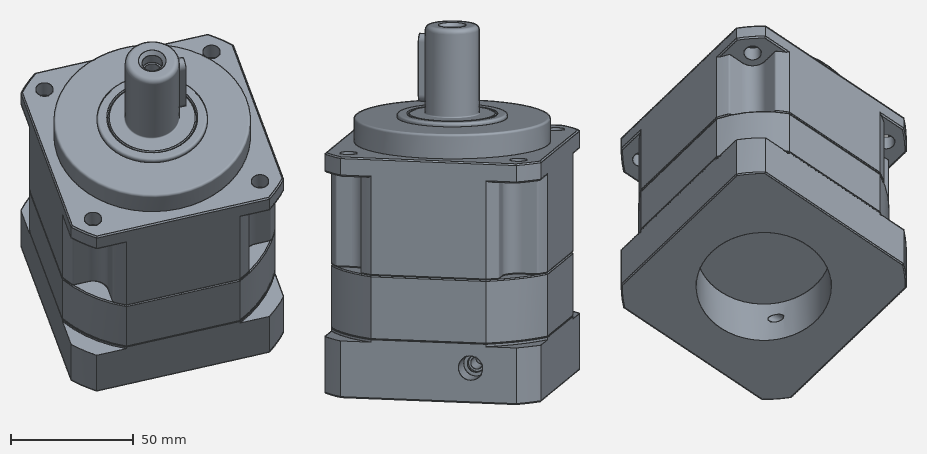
import cadquery as cq
import math

square = 90.0
half = square / 2
tolerance = 0.01
body_radius = 51.0
flange_radius = 58.0
seam_chamfer = 0.5
flange_chamfer = 0.6

adapter_ledge = 23.5
adapter_top = 24.5
ring_top = 51.0
flange_bottom = 91.5
flange_top = 99.5
column_top = flange_bottom + flange_chamfer
pilot_top = 109.5
collar_top = 111.0
shaft_top = 147.5

bolt_circle_radius = 50.0
bolt_offset = bolt_circle_radius * math.sin(math.radians(45))
bolt_hole_diameter = 7.0
pocket_radius = 6.5
pocket_size = 40.0
pocket_rim_fillet = 1.0

pilot_radius = 40.0
pilot_fillet = 1.0
collar_radius = 22.5
collar_fillet = 1.0
groove_radius = 18.0
groove_depth = 0.5
shaft_radius = 11.0
shaft_root_fillet = 0.5
shaft_end_fillet = 2.0

countersink_radius = 5.6
clearance_radius = 4.1
clearance_depth = 6.0
countersink_depth = 1.5
tap_radius = 3.3
tap_depth = 20.0
drill_point_depth = 2.0

key_width = 6.0
key_length = 28.0
key_end_gap = 4.0
key_top = 13.5

motor_bore_radius = 27.5
access_y = -17.5
access_z = 14.4
access_radius = 5.0
access_depth = 10.0
screw_seat_radius = 3.5
screw_seat_depth = 12.0
screw_hole_radius = 2.5


def rounded_square(corner_radius, z_bottom, z_top):
    """Square block whose corners are rounded by a cylinder about the Z axis."""
    height = z_top - z_bottom
    cylinder = cq.Workplane("XY").workplane(offset=z_bottom).circle(corner_radius).extrude(height)
    block = cq.Workplane("XY").workplane(offset=z_bottom).rect(square, square).extrude(height)
    return block.intersect(cylinder)


def corner_pockets():
    """Square-sided pockets, rounded inside, that clear the four mounting screws."""
    height = column_top - ring_top
    inner_wall = bolt_offset - pocket_radius
    centre = inner_wall + pocket_size / 2
    return (
        cq.Workplane("XY").workplane(offset=ring_top)
        .rect(2 * centre, 2 * centre, forConstruction=True).vertices()
        .rect(pocket_size, pocket_size).extrude(height)
        .edges("|Z").fillet(pocket_radius)
    )


def housing_body():
    """Column between gear ring and flange, with a pocket in each corner.

    It runs up past the flange's lower chamfer so that the flat sides stay unbroken.
    """
    column = rounded_square(body_radius, ring_top, column_top)
    column = column.cut(corner_pockets())
    mouths = [
        edge for edge in column.edges("|Z").vals()
        if abs(math.hypot(edge.Center().x, edge.Center().y) - body_radius) < tolerance
        and max(abs(edge.Center().x), abs(edge.Center().y)) < half - tolerance
    ]
    column = column.newObject(mouths).fillet(pocket_rim_fillet)
    return column.faces("<Z").chamfer(seam_chamfer)


def output_flange():
    plate = rounded_square(flange_radius, flange_bottom, flange_top)
    plate = plate.faces("<Z or >Z").chamfer(flange_chamfer)
    return (
        plate.faces(">Z").workplane(origin=(0, 0, flange_top))
        .rect(2 * bolt_offset, 2 * bolt_offset, forConstruction=True).vertices()
        .hole(bolt_hole_diameter)
    )


def pilot_and_shaft():
    """Turned output end: pilot, collar with its groove, and the drilled shaft."""
    pilot = (
        cq.Workplane("XY").workplane(offset=flange_top)
        .circle(pilot_radius).extrude(pilot_top - flange_top)
        .faces(">Z").edges().fillet(pilot_fillet)
    )
    collar = (
        cq.Workplane("XY").workplane(offset=pilot_top)
        .circle(collar_radius).extrude(collar_top - pilot_top)
        .faces(">Z").edges().fillet(collar_fillet)
    )
    shaft = (
        cq.Workplane("XY").workplane(offset=collar_top)
        .circle(shaft_radius).extrude(shaft_top - collar_top)
        .faces(">Z").edges().fillet(shaft_end_fillet)
    )
    turned = pilot.union(collar).union(shaft)
    root_edges = [
        edge for edge in turned.edges("%CIRCLE").vals()
        if abs(edge.Center().z - collar_top) < tolerance
        and abs(edge.radius() - shaft_radius) < tolerance
    ]
    turned = turned.newObject(root_edges).fillet(shaft_root_fillet)
    return turned.cut(shoulder_groove()).cut(centre_hole())


def shoulder_groove():
    """V groove in the collar face with sides at 45 degrees."""
    return (
        cq.Workplane("XZ")
        .moveTo(groove_radius - groove_depth, collar_top)
        .lineTo(groove_radius + groove_depth, collar_top)
        .lineTo(groove_radius, collar_top - groove_depth)
        .close()
        .revolve(360, (0, 0), (0, 1))
    )


def centre_hole():
    tap_bottom = shaft_top - tap_depth
    return (
        cq.Workplane("XZ")
        .moveTo(0, shaft_top)
        .lineTo(countersink_radius, shaft_top)
        .lineTo(clearance_radius, shaft_top - countersink_depth)
        .lineTo(clearance_radius, shaft_top - clearance_depth)
        .lineTo(tap_radius, shaft_top - clearance_depth)
        .lineTo(tap_radius, tap_bottom)
        .lineTo(0, tap_bottom - drill_point_depth)
        .close()
        .revolve(360, (0, 0), (0, 1))
    )


def key():
    """Round-ended key standing out of the +Y side of the shaft."""
    height = key_top - shaft_radius + key_width / 2
    centre_z = shaft_top - key_end_gap - key_length / 2
    return (
        cq.Workplane("XZ", origin=(0, key_top, centre_z))
        .slot2D(key_length, key_width, 90).extrude(height)
    )


def output_housing():
    """Housing, flange, pilot and keyed output shaft as one body."""
    return housing_body().union(output_flange()).union(pilot_and_shaft()).union(key())


def gear_ring():
    ring = rounded_square(body_radius, adapter_top, ring_top)
    return ring.faces("<Z or >Z").chamfer(seam_chamfer)


def motor_adapter():
    flange = rounded_square(flange_radius, 0, adapter_ledge)
    flange = flange.faces("<Z").chamfer(seam_chamfer)
    boss = rounded_square(body_radius, adapter_ledge, adapter_top)
    motor_bore = cq.Workplane("XY").circle(motor_bore_radius).extrude(adapter_top)
    return flange.union(boss).cut(motor_bore).cut(screw_access())


def screw_access():
    """Stepped hole from the -X side into the motor bore."""
    side = cq.Workplane("YZ", origin=(-half, access_y, access_z))
    access = side.circle(access_radius).extrude(access_depth)
    seat = side.circle(screw_seat_radius).extrude(screw_seat_depth)
    hole = side.circle(screw_hole_radius).extrude(half)
    return access.union(seat).union(hole)


result = cq.Compound.makeCompound([
    output_housing().val(),
    gear_ring().val(),
    motor_adapter().val(),
])